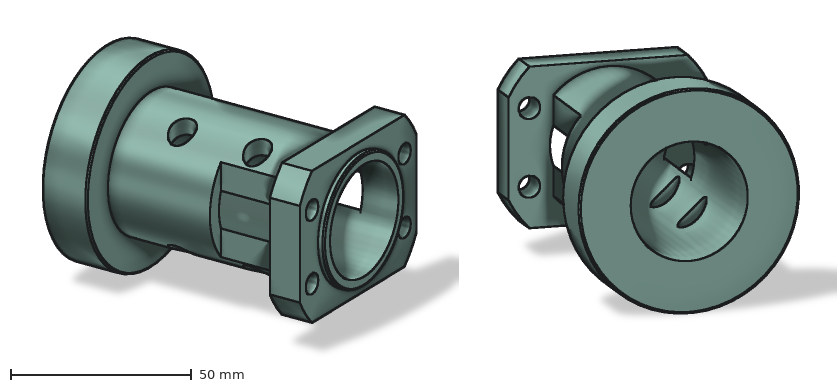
import cadquery as cq

total_length = 86
flange_length = 15.05
spigot_length = 2.0
plate_thickness = 10.0
plate_end = total_length - spigot_length
plate_start = plate_end - plate_thickness

flange_diameter = 64.0
body_diameter = 43
spigot_diameter = 40.0
bore_diameter = 34.0
edge_chamfer = 0.5

plate_width = 58.05
plate_height = 46.0
plate_corner_diameter = 65.0
plate_hole_diameter = 6.2
plate_hole_spacing_y = 45.9
plate_hole_spacing_z = 22.4

flats_start = 49
flats_width = 32.0

cross_hole_diameter = 8.0
cross_hole_positions = (33.0, 58.05)
cross_hole_y = -11.3


def cylinder(start, end, diameter):
    return cq.Workplane("YZ", origin=(start, 0, 0)).circle(diameter / 2).extrude(end - start)


def make_plate():
    blank = (
        cq.Workplane("YZ", origin=(plate_start, 0, 0))
        .rect(plate_width, plate_height)
        .extrude(plate_thickness)
    )
    plate = blank.intersect(cylinder(plate_start, plate_end, plate_corner_diameter))
    holes = (
        cq.Workplane("YZ", origin=(plate_start, 0, 0))
        .rect(plate_hole_spacing_y, plate_hole_spacing_z, forConstruction=True)
        .vertices()
        .circle(plate_hole_diameter / 2)
        .extrude(plate_thickness)
    )
    return plate.cut(holes)


def make_body():
    flats_length = plate_start - flats_start
    neck = cq.Workplane("XY").box(flats_length, flats_width, body_diameter)
    neck = neck.translate((flats_start + flats_length / 2, 0, 0))
    necked_end = cylinder(flats_start, plate_start, body_diameter).intersect(neck)
    body = cylinder(0, flats_start, body_diameter).union(necked_end)
    cross_holes = (
        cq.Workplane("XY")
        .pushPoints([(x, cross_hole_y) for x in cross_hole_positions])
        .circle(cross_hole_diameter / 2)
        .extrude(body_diameter / 2, both=True)
    )
    return body.cut(cross_holes)


flange = cylinder(0, flange_length, flange_diameter).edges().chamfer(edge_chamfer)
spigot = cylinder(plate_end, total_length, spigot_diameter).faces(">X").edges().chamfer(edge_chamfer)
bore = cylinder(0, total_length, bore_diameter)

result = make_body().union(flange).union(make_plate()).union(spigot).cut(bore)